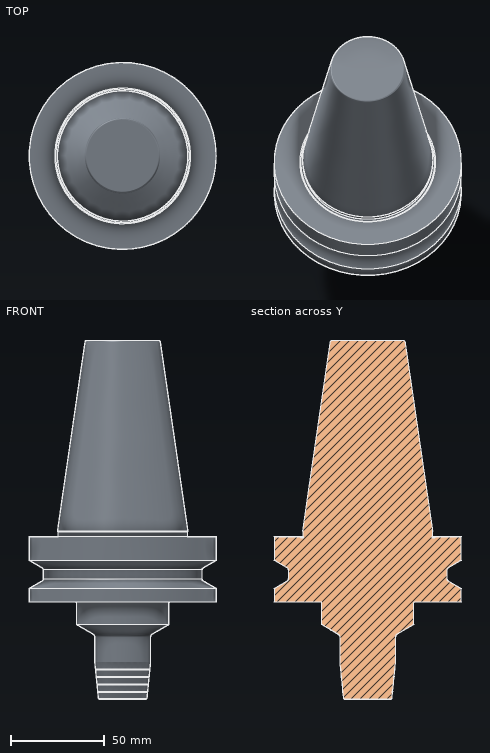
import cadquery as cq
import math


GAUGE_RADIUS = 69.85 / 2
TAPER_LENGTH = 101.8
TAPER_SLOPE = 7 / 48
TIP_FILLET = 1.0
NECK_RADIUS = 34.7
NECK_TOP = -0.6

RELIEF_TOP = -2.9
RELIEF_ROOT_RADIUS = 34.4
RELIEF_FLOOR_RADIUS = 35.7
RELIEF_DEPTH = 0.6

FLANGE_RADIUS = 50.0
FLANGE_TOP = -3.0
FLANGE_BOTTOM = -38.0
GROOVE_FLOOR_RADIUS = 42.5
GROOVE_CENTER = -23.2
GROOVE_MOUTH = 14.9
GROOVE_FLANK_ANGLE = 30.0
GROOVE_FILLET = 1.0

COLLAR_RADIUS = 24.75
COLLAR_BOTTOM = -50.0
COLLAR_ROOT_FILLET = 0.5
NOSE_RADIUS = 15.0
NOSE_TAPER_TOP = -70.0
NOSE_BOTTOM = -90.0
NOSE_END_RADIUS = 13.0
NOSE_END_CHAMFER = 0.5
NOSE_ROOT_FILLET = 1.5
COLLAR_CONE_ANGLE = 30.0

RING_COUNT = 4
RING_PITCH = 4.0
RING_WIDTH = 0.5
RING_DEPTH = 0.15


def revolve(points):
    """Turn a closed outline of (radius, height) points about Z."""
    return cq.Workplane("XZ").polyline(points).close().revolve(360, (0, 0, 0), (0, 1, 0))


def fillet_circle(body, radius, height, size):
    """Round the full circular edge of the given radius at the given height."""
    tolerance = 0.01
    box = cq.selectors.BoxSelector(
        (-radius - tolerance, -radius - tolerance, height - tolerance),
        (radius + tolerance, radius + tolerance, height + tolerance),
        boundingbox=True,
    )
    circles = [e for e in body.edges(box).vals() if abs(e.radius() - radius) < tolerance]
    return body.newObject(circles).fillet(size)


def make_shank():
    tip_radius = GAUGE_RADIUS - TAPER_LENGTH * TAPER_SLOPE
    shank = revolve([
        (0, TAPER_LENGTH),
        (tip_radius, TAPER_LENGTH),
        (GAUGE_RADIUS, 0),
        (NECK_RADIUS, NECK_TOP),
        (NECK_RADIUS, FLANGE_TOP),
        (0, FLANGE_TOP),
    ])
    return shank.faces(">Z").edges().fillet(TIP_FILLET)


def make_flange():
    flank_height = (FLANGE_RADIUS - GROOVE_FLOOR_RADIUS) * math.tan(math.radians(GROOVE_FLANK_ANGLE))
    mouth_top = GROOVE_CENTER + GROOVE_MOUTH / 2
    mouth_bottom = GROOVE_CENTER - GROOVE_MOUTH / 2
    floor_top = mouth_top - flank_height
    floor_bottom = mouth_bottom + flank_height
    flange = revolve([
        (0, FLANGE_TOP),
        (FLANGE_RADIUS, FLANGE_TOP),
        (FLANGE_RADIUS, mouth_top),
        (GROOVE_FLOOR_RADIUS, floor_top),
        (GROOVE_FLOOR_RADIUS, floor_bottom),
        (FLANGE_RADIUS, mouth_bottom),
        (FLANGE_RADIUS, FLANGE_BOTTOM),
        (0, FLANGE_BOTTOM),
    ])
    for height in (floor_top, floor_bottom):
        flange = fillet_circle(flange, GROOVE_FLOOR_RADIUS, height, GROOVE_FILLET)
    return flange


def relief_cutter():
    """An undercut that bites slightly into the neck and rises to the flange face at 45 degrees."""
    floor = FLANGE_TOP - RELIEF_DEPTH
    return revolve([
        (NECK_RADIUS, RELIEF_TOP),
        (RELIEF_ROOT_RADIUS, floor),
        (RELIEF_FLOOR_RADIUS, floor),
        (RELIEF_FLOOR_RADIUS + RELIEF_DEPTH, FLANGE_TOP),
    ])


def make_nose():
    cone_height = (COLLAR_RADIUS - NOSE_RADIUS) * math.tan(math.radians(COLLAR_CONE_ANGLE))
    cone_bottom = COLLAR_BOTTOM - cone_height
    nose = revolve([
        (0, FLANGE_BOTTOM),
        (COLLAR_RADIUS, FLANGE_BOTTOM),
        (COLLAR_RADIUS, COLLAR_BOTTOM),
        (NOSE_RADIUS, cone_bottom),
        (NOSE_RADIUS, NOSE_TAPER_TOP),
        (NOSE_END_RADIUS, NOSE_BOTTOM),
        (0, NOSE_BOTTOM),
    ])
    nose = fillet_circle(nose, NOSE_RADIUS, cone_bottom, NOSE_ROOT_FILLET)
    return nose.faces("<Z").chamfer(NOSE_END_CHAMFER)


def nose_radius_at(height):
    slope = (NOSE_RADIUS - NOSE_END_RADIUS) / (NOSE_TAPER_TOP - NOSE_BOTTOM)
    return NOSE_RADIUS - (NOSE_TAPER_TOP - height) * slope


def ring_cutter(height):
    """A shallow V ring following the tapered nose."""
    top = height + RING_WIDTH / 2
    bottom = height - RING_WIDTH / 2
    return revolve([
        (nose_radius_at(top), top),
        (nose_radius_at(height) + RING_DEPTH, height),
        (nose_radius_at(bottom), bottom),
        (nose_radius_at(height) - RING_DEPTH, height),
    ])


result = make_flange().union(make_shank()).union(make_nose())
result = result.cut(relief_cutter())
result = fillet_circle(result, COLLAR_RADIUS, FLANGE_BOTTOM, COLLAR_ROOT_FILLET)
for ring in range(1, RING_COUNT + 1):
    result = result.cut(ring_cutter(NOSE_TAPER_TOP - ring * RING_PITCH))